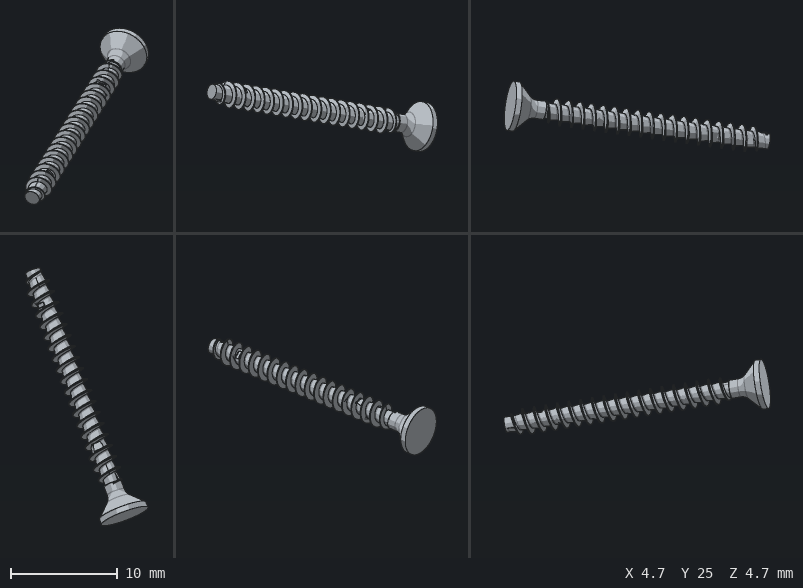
import cadquery as cq
import math


total_length = 25.0
head_radius = 2.35
head_rim = 0.55
shank_radius = 0.88
shank_end = 3.3
head_cone_angle = 45.0
neck_fillet = 1.0

core_radius = 0.738

outer_radius = 1.25
first_crest = 4.28
full_thread_length = 19.05
full_turns = 17
pitch = full_thread_length / full_turns
last_crest = first_crest + full_thread_length
crest_start_angle = 90.0
run_in_turns = 1.0
run_out_turns = 1.2
fade_drop_per_turn = outer_radius - shank_radius

crest_width = 0.1
ridge_base_width = 0.38

ramp_radius = 0.85
ramp_end_radius = 0.72
ramp_length = 0.9

end_ramp_step = 0.005
end_ramp_overlap = 0.05
tip_ramp_turns = 0.6

thread_sink = 0.25

notches = [
    (6.68, 0.7, 0.95, 0.65, 10.0),
    (21.32, 0.4, 0.75, 0.62, 40.0),
]


def make_body():
    """Head, filleted neck, shank and core as one turned shape."""
    cone_angle = math.radians(head_cone_angle)
    cone_end = head_rim + (head_radius - shank_radius) / math.tan(cone_angle)
    setback = neck_fillet * math.tan(cone_angle / 2)
    fillet_start_radius = shank_radius + setback * math.sin(cone_angle)
    fillet_start = cone_end - setback * math.cos(cone_angle)
    return (
        cq.Workplane("XZ")
        .moveTo(0, 0)
        .lineTo(head_radius, 0)
        .lineTo(head_radius, head_rim)
        .lineTo(fillet_start_radius, fillet_start)
        .tangentArcPoint((shank_radius, cone_end + setback), relative=False)
        .lineTo(shank_radius, shank_end)
        .lineTo(core_radius, shank_end)
        .lineTo(core_radius, total_length)
        .lineTo(0, total_length)
        .close()
        .revolve(360, (0, 0, 0), (0, 1, 0))
    )


def helix_sweep(section, start, turns, rise=0.0, towards_head=False):
    """Sweep (radius, axial) section points along the helix from height start.

    The section begins rise below its stated radii and reaches them after the
    given turns, running towards the tip or back towards the head.
    """
    height = turns * pitch
    slope = math.atan2(rise, height)
    start_radius = outer_radius - rise
    if rise > 0:
        stretch = 1 / math.cos(slope)
        path = cq.Wire.makeHelix(
            pitch * stretch, height * stretch, start_radius, angle=math.degrees(slope)
        )
    else:
        path = cq.Wire.makeHelix(pitch, height, start_radius)
    axial_sign = -1 if towards_head else 1
    outline = [(radius - rise, axial_sign * axial) for radius, axial in section]
    thread = cq.Workplane("XZ").polyline(outline).close().sweep(cq.Workplane(path), isFrenet=True)
    if towards_head:
        thread = thread.rotate((0, 0, 0), (1, 0, 0), 180)
    start_angle = crest_start_angle + 360.0 * (start - first_crest) / pitch
    return thread.rotate((0, 0, 0), (0, 0, 1), start_angle).translate((0, 0, start))


thread_base = core_radius - thread_sink
flank_slope = (ridge_base_width - crest_width) / 2 / (outer_radius - core_radius)
ridge_half_at_base = crest_width / 2 + flank_slope * (outer_radius - thread_base)
ridge_half_at_ramp = crest_width / 2 + flank_slope * (outer_radius - ramp_radius)
head_flank = [(thread_base, -ridge_half_at_base), (outer_radius, -crest_width / 2)]
ridge_section = head_flank + [(outer_radius, crest_width / 2), (thread_base, ridge_half_at_base)]
ramp_edge = [(ramp_end_radius, ramp_length), (thread_base, ramp_length)]
thread_section = head_flank + [
    (outer_radius, crest_width / 2),
    (ramp_radius, ridge_half_at_ramp),
    *ramp_edge,
]


def make_thread():
    """Run-in of the ridge, full ridge with its root ramp, and run-out, in order from the head."""
    run_in_start = first_crest - run_in_turns * pitch
    run_in = helix_sweep(
        ridge_section, run_in_start, run_in_turns, run_in_turns * fade_drop_per_turn
    )
    main = helix_sweep(thread_section, first_crest, full_turns)
    run_out_end = last_crest + run_out_turns * pitch
    run_out = helix_sweep(
        ridge_section,
        run_out_end,
        run_out_turns,
        run_out_turns * fade_drop_per_turn,
        towards_head=True,
    )
    return [run_in, main, run_out]


def make_end_ramp(start, turns):
    """Root ramp alone, for the stretches beside the run-in and the run-out."""
    inner_radius = ramp_radius - end_ramp_step
    section = [
        (thread_base, 0),
        (inner_radius, 0),
        (inner_radius, ridge_half_at_ramp),
        *ramp_edge,
    ]
    return helix_sweep(section, start, turns)


def make_notch(start, length, width, offset, tilt):
    """Block whose flat side lies at the given offset from the axis."""
    block = cq.Workplane("XY").box(width, shank_radius, length, centered=(True, False, False))
    return block.translate((0, offset, start)).rotate((0, 0, 0), (0, 0, 1), -tilt)


screw = make_body()
for segment in make_thread():
    screw = screw.union(segment)

head_ramp_turns = (first_crest - shank_end) / pitch + end_ramp_overlap
screw = screw.union(make_end_ramp(shank_end, head_ramp_turns))
tip_ramp_start = last_crest - end_ramp_overlap * pitch
screw = screw.union(make_end_ramp(tip_ramp_start, tip_ramp_turns))

for notch in notches:
    screw = screw.cut(make_notch(*notch))

result = screw.rotate((0, 0, 0), (1, 0, 0), 90)